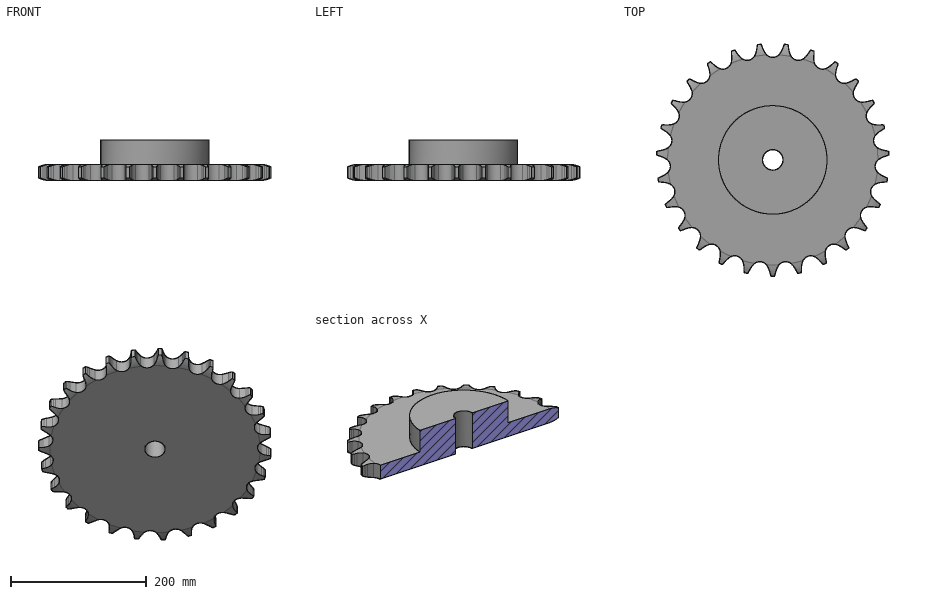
import cadquery as cq
import math

TOOTH_COUNT = 27
TIP_DIAMETER = 343.2
PITCH_DIAMETER = 328.0
PLATE_THICKNESS = 24.0

ROLLER_DIAMETER = 25.5
SEAT_RADIUS = ROLLER_DIAMETER / 2
WORKING_OFFSET = 0.8 * ROLLER_DIAMETER
TOPPING_OFFSET = 1.4 * ROLLER_DIAMETER
SEAT_HALF_ANGLE = 55 - 60 / TOOTH_COUNT
WORKING_ANGLE = 18 - 56 / TOOTH_COUNT
TOPPING_TILT = 17 - 64 / TOOTH_COUNT
TOPPING_SWEEP = 20

RELIEF_DIAMETER = 310.0
RELIEF_RADIUS = 38.0

HUB_DIAMETER = 160.0
BORE_DIAMETER = 30.0
OVERALL_HEIGHT = 60.0

FIRST_GAP_ANGLE = 90


def toothed_blank():
    """Revolve the plate; its rim curves in tangentially from both flat faces."""
    tip = TIP_DIAMETER / 2
    flat = RELIEF_DIAMETER / 2

    def relief_depth(radius):
        return RELIEF_RADIUS - math.sqrt(RELIEF_RADIUS**2 - (radius - flat)**2)

    middle = (flat + tip) / 2
    tip_depth = relief_depth(tip)
    middle_depth = relief_depth(middle)
    return (
        cq.Workplane("XZ")
        .moveTo(0, 0)
        .lineTo(flat, 0)
        .threePointArc((middle, middle_depth), (tip, tip_depth))
        .lineTo(tip, PLATE_THICKNESS - tip_depth)
        .threePointArc((middle, PLATE_THICKNESS - middle_depth), (flat, PLATE_THICKNESS))
        .lineTo(0, PLATE_THICKNESS)
        .close()
        .revolve(360, (0, 0, 0), (0, 1, 0))
    )


def polar(centre, radius, angle):
    """Point at a radius and an angle in degrees from a centre."""
    turned = math.radians(angle)
    return centre[0] + radius * math.cos(turned), centre[1] + radius * math.sin(turned)


def tooth_gap():
    """Cutter for one gap centred on +X: a roller seat between two tangent flanks."""
    seat_centre = (PITCH_DIAMETER / 2, 0)
    seat_bottom = polar(seat_centre, SEAT_RADIUS, 180)
    seat_end_angle = 180 - SEAT_HALF_ANGLE

    working_radius = SEAT_RADIUS + WORKING_OFFSET
    working_centre = polar(seat_centre, -WORKING_OFFSET, seat_end_angle)
    working_end_angle = seat_end_angle - WORKING_ANGLE

    straight_length = (
        TOPPING_OFFSET * math.sin(math.radians(TOPPING_TILT))
        - WORKING_OFFSET * math.sin(math.radians(WORKING_ANGLE))
    )
    topping_radius = (
        TOPPING_OFFSET * math.cos(math.radians(TOPPING_TILT))
        + WORKING_OFFSET * math.cos(math.radians(WORKING_ANGLE))
        - working_radius
    )

    seat_end = polar(working_centre, working_radius, seat_end_angle)
    working_middle = polar(working_centre, working_radius, seat_end_angle - WORKING_ANGLE / 2)
    working_end = polar(working_centre, working_radius, working_end_angle)
    straight_end = polar(working_end, straight_length, working_end_angle - 90)
    topping_centre = polar(straight_end, topping_radius, working_end_angle)
    topping_middle = polar(topping_centre, -topping_radius, working_end_angle + TOPPING_SWEEP / 2)
    topping_end = polar(topping_centre, -topping_radius, working_end_angle + TOPPING_SWEEP)

    def mirrored(point):
        return point[0], -point[1]

    return (
        cq.Workplane("XY")
        .moveTo(*topping_end)
        .threePointArc(topping_middle, straight_end)
        .lineTo(*working_end)
        .threePointArc(working_middle, seat_end)
        .threePointArc(seat_bottom, mirrored(seat_end))
        .threePointArc(mirrored(working_middle), mirrored(working_end))
        .lineTo(*mirrored(straight_end))
        .threePointArc(mirrored(topping_middle), mirrored(topping_end))
        .close()
        .extrude(PLATE_THICKNESS)
    )


def sprocket():
    """Toothed plate with a hub on top and a bore through both."""
    body = toothed_blank()
    gap = tooth_gap()
    for index in range(TOOTH_COUNT):
        angle = FIRST_GAP_ANGLE + index * 360 / TOOTH_COUNT
        body = body.cut(gap.rotate((0, 0, 0), (0, 0, 1), angle))
    hub = cq.Workplane("XY").circle(HUB_DIAMETER / 2).extrude(OVERALL_HEIGHT)
    bore = cq.Workplane("XY").circle(BORE_DIAMETER / 2).extrude(OVERALL_HEIGHT)
    return body.union(hub).cut(bore)


result = sprocket()